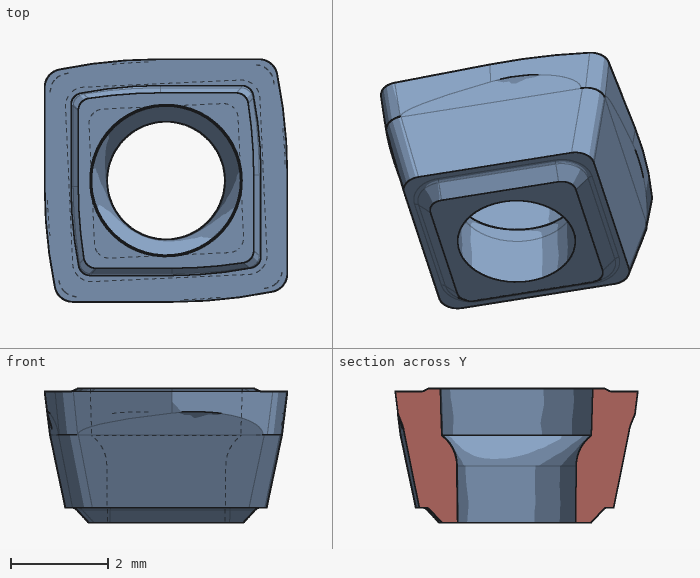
import cadquery as cq
import math

ledge_height = 0.31
waist_height = 1.81
land_height = 2.705
skirt_top_height = 2.72
total_height = 2.77

outline_half_width = 2.5
outline_corner_radius = 0.385
bend_start = 0.12
bend_radius = 10.3
upper_relief = math.radians(7)

flank_turn = 2.6
waist_half_width = 2.305
flank_corner_radius = 0.39
lower_relief = math.radians(11.4)

shoulder_radius = 1.3
shoulder_sections = 5

foot_half_width = 1.535
foot_corner_radius = 0.3
foot_relief = math.radians(43)
foot_fillet = 0.115

pad_half_width = 1.805
pad_corner_radius = 0.25
skirt_top_half_width = 1.915
skirt_half_width = 1.955
skirt_bend_radius = 8.6

bore_top_radius = 1.565
bore_bottom_radius = 1.535
bore_depth = 0.97
seat_radius = 0.775
hole_top_radius = 1.225
hole_bottom_radius = 1.21


def quarter_turned(point, turns):
    x, y = point
    for _ in range(turns):
        x, y = -y, x
    return x, y


def cutting_outline(half_width, corner_radius, side_radius, height):
    """Closed outline of four equal sides: straight, bend, then a tangent corner arc."""
    bend_center_y = side_radius - half_width
    corner_x = half_width - corner_radius
    center_distance = side_radius - corner_radius
    bend_angle = math.asin((corner_x - bend_start) / center_distance)
    corner_y = bend_center_y - center_distance * math.cos(bend_angle)
    corner_middle_angle = (bend_angle + math.pi / 2) / 2

    def on_arc(center_x, center_y, radius, angle):
        return center_x + radius * math.sin(angle), center_y - radius * math.cos(angle)

    straight_end = (bend_start, -half_width)
    bend_middle = on_arc(bend_start, bend_center_y, side_radius, bend_angle / 2)
    bend_end = on_arc(bend_start, bend_center_y, side_radius, bend_angle)
    corner_middle = on_arc(corner_x, corner_y, corner_radius, corner_middle_angle)
    corner_end = (half_width, corner_y)

    outline = cq.Workplane("XY").workplane(offset=height).moveTo(*quarter_turned(corner_end, 3))
    for side in range(4):
        outline = outline.lineTo(*quarter_turned(straight_end, side))
        outline = outline.threePointArc(quarter_turned(bend_middle, side), quarter_turned(bend_end, side))
        outline = outline.threePointArc(quarter_turned(corner_middle, side), quarter_turned(corner_end, side))
    return outline.close().val()


def inset_outline(half_width, corner_radius, height):
    """Cutting outline moved inward with its bends kept parallel."""
    inset = outline_half_width - half_width
    return cutting_outline(half_width, corner_radius, bend_radius - inset, height)


def turned_square(half_width, corner_radius, height):
    """Rounded square turned with the lower flanks."""
    square = cq.Workplane("XY").workplane(offset=height).rect(2 * half_width, 2 * half_width).val()
    rounded = square.fillet2D(corner_radius, square.Vertices())
    return rounded.rotate((0, 0, 0), (0, 0, 1), flank_turn)


def loft(outlines, ruled=True):
    return cq.Workplane(cq.Solid.makeLoft(outlines, ruled))


def make_flanks():
    ledge_half_width = waist_half_width - (waist_height - ledge_height) * math.tan(lower_relief)
    return loft([
        turned_square(ledge_half_width, flank_corner_radius, ledge_height),
        turned_square(waist_half_width, flank_corner_radius, waist_height),
    ])


def make_shoulder():
    """Turned square widening upward along an arc that starts at the upper relief angle."""
    rise = (land_height - waist_height) / shoulder_radius
    end_angle = math.asin(math.sin(upper_relief) + rise)
    sections = []
    for index in range(shoulder_sections):
        angle = upper_relief + (end_angle - upper_relief) * index / (shoulder_sections - 1)
        widening = shoulder_radius * (math.cos(upper_relief) - math.cos(angle))
        height = waist_height + shoulder_radius * (math.sin(angle) - math.sin(upper_relief))
        sections.append(turned_square(waist_half_width + widening, flank_corner_radius, height))
    return loft(sections, ruled=False)


def make_upper():
    """Relieved cutting outline, trimmed by the shoulder."""
    relief_inset = (land_height - waist_height) * math.tan(upper_relief)
    sides = loft([
        inset_outline(outline_half_width - relief_inset, outline_corner_radius, waist_height),
        inset_outline(outline_half_width, outline_corner_radius, land_height),
    ])
    return sides.intersect(make_shoulder())


def make_foot():
    widening = ledge_height * math.tan(foot_relief)
    return loft([
        turned_square(foot_half_width, foot_corner_radius, 0),
        turned_square(foot_half_width + widening, foot_corner_radius + widening, ledge_height),
    ])


def make_lower():
    """Flanks on their foot, with the inner corner under the ledge filleted."""
    lower = make_flanks().union(make_foot())
    reach = foot_half_width + ledge_height
    near_foot = cq.selectors.BoxSelector(
        (-reach, -reach, ledge_height / 2), (reach, reach, ledge_height * 1.5)
    )
    return lower.faces("<Z[1]").edges(near_foot).fillet(foot_fillet)


def make_pad():
    skirt_top = inset_outline(skirt_top_half_width, pad_corner_radius, skirt_top_height)
    skirt_bottom = cutting_outline(skirt_half_width, pad_corner_radius, skirt_bend_radius, land_height)
    pad_top = inset_outline(pad_half_width, pad_corner_radius, total_height)
    return loft([skirt_bottom, skirt_top]).union(loft([skirt_top, pad_top]))


def make_screw_hole():
    bore_floor = total_height - bore_depth
    seat_center_x = hole_top_radius + seat_radius
    seat_angle = math.acos((seat_center_x - bore_bottom_radius) / seat_radius)
    seat_bottom = bore_floor - seat_radius * math.sin(seat_angle)
    seat_middle = (
        seat_center_x - seat_radius * math.cos(seat_angle / 2),
        seat_bottom + seat_radius * math.sin(seat_angle / 2),
    )
    return (
        cq.Workplane("XZ")
        .lineTo(hole_bottom_radius, 0)
        .lineTo(hole_top_radius, seat_bottom)
        .threePointArc(seat_middle, (bore_bottom_radius, bore_floor))
        .lineTo(bore_top_radius, total_height)
        .lineTo(0, total_height)
        .close()
        .revolve(360, (0, 0, 0), (0, 1, 0))
    )


result = make_lower().union(make_upper()).union(make_pad()).cut(make_screw_hole())